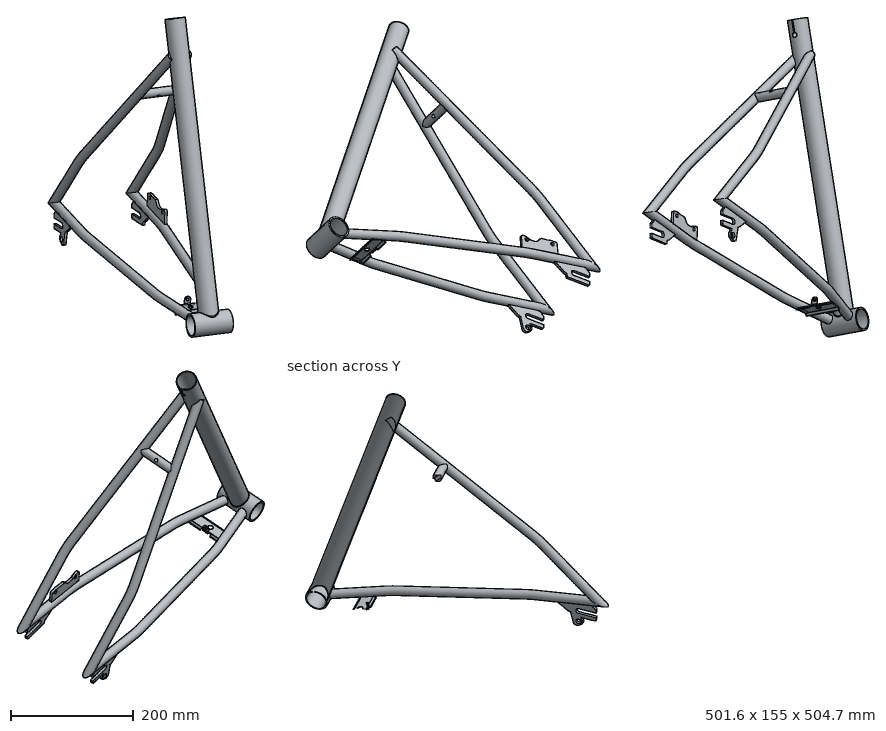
import math
import cadquery as cq


shell_radius = 19.35
shell_bore_radius = 16.5
shell_width = 68.0

seat_tube_radius = 17.0
seat_tube_wall = 1.2
seat_tube_lean = 16.0
seat_tube_length = 500.0
clamp_slot_width = 1.8
clamp_slot_length = 25.5
clamp_hole_diameter = 8.0

stay_radius = 8.0
overall_width = 155.0
joint_x = -465.56
miter_overrun = 40.0

chainstay_rise = 10.6
chainstay_bend_radius = 155.0
chainstay_rear_bend = 352.0
chainstay_front_bend = 115.0
chainstay_front_bend_y = 43.0
chainstay_end = 8.0
chainstay_end_y = 17.0

seatstay_rise = 44.15
seatstay_bend_radius = 175.0
seatstay_bend = 147.0
seatstay_end = 482.0
seatstay_end_y = 12.5

bridge_radius = 7.6
bridge_distance = 356.5
bridge_hole_diameter = 6.0

channel_rear = 90.5
channel_front = 62.5
channel_rear_half_width = 35.0
channel_front_half_width = 32.0
channel_top = -6.8
channel_height = 5.0
channel_wall = 1.5
channel_lean = 3.5
channel_hole_diameter = 8.5
relief_width = 20.0
tab_width = 11.0
tab_hole_diameter = 4.5

dropout_thickness = 4.5
axle_x = -431.2
axle_z = 57.2
axle_slot_width = 10.0
dropout_rear = -30.5
lower_lip = -13.0
lip_chamfer = 2.0
hanger_hole_drop = 23.0
hanger_hole_diameter = 9.0

caliper_hole_diameter = 6.0
caliper_rear_hole = (42.0, 42.0)
caliper_hole_step = (49.8, -11.1)

stay_spacing = overall_width / 2 - stay_radius
chainstay_angle = math.radians(chainstay_rise)
seatstay_angle = math.radians(seatstay_rise)
lean_angle = math.radians(seat_tube_lean)
joint_z = -joint_x * math.tan(chainstay_angle)
joint_distance = -joint_x / math.cos(chainstay_angle)
channel_bottom = channel_top - channel_height
channel_middle = (channel_rear + channel_front) / 2
caliper_front_hole = (
    caliper_rear_hole[0] + caliper_hole_step[0],
    caliper_rear_hole[1] + caliper_hole_step[1],
)

bridge_share = (bridge_distance - seatstay_bend) / (seatstay_end - seatstay_bend)
bridge_end_y = stay_spacing + bridge_share * (seatstay_end_y - stay_spacing)

chainstay_plane = cq.Plane(
    origin=(0, 0, 0),
    xDir=(-math.cos(chainstay_angle), 0, math.sin(chainstay_angle)),
    normal=(-math.sin(chainstay_angle), 0, -math.cos(chainstay_angle)),
)
channel_section_plane = cq.Plane(
    origin=(0, 0, 0),
    xDir=chainstay_plane.xDir,
    normal=chainstay_plane.yDir,
)
seatstay_plane = cq.Plane(
    origin=(joint_x, 0, joint_z),
    xDir=(math.cos(seatstay_angle), 0, math.sin(seatstay_angle)),
    normal=(-math.sin(seatstay_angle), 0, math.cos(seatstay_angle)),
)
seat_tube_plane = cq.Plane(
    origin=(0, 0, 0),
    xDir=(0, -1, 0),
    normal=(-math.sin(lean_angle), 0, math.cos(lean_angle)),
)
seat_tube_rear_plane = cq.Plane(
    origin=(0, 0, 0),
    xDir=(0, -1, 0),
    normal=-seat_tube_plane.yDir,
)


def cylinder_y(radius, width, x=0.0, z=0.0):
    """Cylinder along Y, centred on Y = 0."""
    return cq.Workplane("XZ").center(x, z).circle(radius).extrude(width / 2, both=True)


def bent_bar(plane, points, bend_radius):
    """Round bar along a polyline in the plane, with every inner corner bent."""
    corners = [plane.toWorldCoords((x, y, 0)) for x, y in points]
    path = cq.Wire.makePolygon(corners)
    bends = []
    for vertex in path.Vertices():
        if any((vertex.Center() - corner).Length < stay_radius for corner in corners[1:-1]):
            bends.append(vertex)
    path = path.fillet2D(bend_radius, bends)
    start = cq.Plane(origin=corners[0], xDir=(0, -1, 0), normal=corners[1] - corners[0])
    return cq.Workplane(start).circle(stay_radius).sweep(cq.Workplane(obj=path))


def miter_block(direction):
    """Large block above (1) or below (-1) the plane that bisects the two stays at the rear joint."""
    size = 2 * seatstay_end
    tilt = (seatstay_rise - chainstay_rise) / 2
    return (
        cq.Workplane("XY")
        .box(size, size, size)
        .translate((0, 0, direction * size / 2))
        .rotate((0, 0, 0), (0, 1, 0), -tilt)
        .translate((joint_x, 0, joint_z))
    )


def make_stays(side):
    """Chainstay and seatstay of one side, mitered together at the rear."""
    spacing = side * stay_spacing
    chainstay = bent_bar(
        chainstay_plane,
        [
            (joint_distance + miter_overrun, spacing),
            (chainstay_rear_bend, spacing),
            (chainstay_front_bend, side * chainstay_front_bend_y),
            (chainstay_end, side * chainstay_end_y),
        ],
        chainstay_bend_radius,
    )
    seatstay = bent_bar(
        seatstay_plane,
        [
            (-miter_overrun, spacing),
            (seatstay_bend, spacing),
            (seatstay_end, side * seatstay_end_y),
        ],
        seatstay_bend_radius,
    )
    return chainstay.cut(miter_block(1)).union(seatstay.cut(miter_block(-1)))


def make_seatstay_bridge():
    """Cross bar between the seatstays with a hole square to their plane."""
    centre = seatstay_plane.toWorldCoords((bridge_distance, 0, 0))
    bar = cylinder_y(bridge_radius, 2 * bridge_end_y, centre.x, centre.z)
    hole = (
        cq.Workplane(seatstay_plane)
        .center(bridge_distance, 0)
        .circle(bridge_hole_diameter / 2)
        .extrude(2 * bridge_radius, both=True)
    )
    return bar.cut(hole)


def channel_block(wall):
    """Bar along Y with leaning sides, inset by a wall thickness from the outside of the channel."""
    flange_length = math.hypot(channel_lean, channel_height)
    side_inset = wall * flange_length / channel_height
    lean = channel_lean * (channel_height - wall) / channel_height
    rear = channel_rear - side_inset
    front = channel_front + side_inset
    section = [
        (rear, channel_bottom),
        (rear - lean, channel_top - wall),
        (front + lean, channel_top - wall),
        (front, channel_bottom),
    ]
    return (
        cq.Workplane(channel_section_plane)
        .polyline(section)
        .close()
        .extrude(channel_rear_half_width, both=True)
    )


def channel_cutter(sketch):
    """Extrude a sketch on the chainstay plane down through the whole channel."""
    return sketch.extrude(-channel_bottom)


def make_chainstay_bridge():
    """Channel open downwards, tapering in width, with a tab in a relief of its rear edge."""
    width_outline = [
        (channel_rear, -channel_rear_half_width),
        (channel_rear, channel_rear_half_width),
        (channel_front, channel_front_half_width),
        (channel_front, -channel_front_half_width),
    ]
    base = cq.Workplane(chainstay_plane)
    taper = channel_cutter(base.polyline(width_outline).close())
    relief = channel_cutter(base.center(channel_rear, 0).rect(2 * channel_lean, relief_width))
    hole = channel_cutter(base.center(channel_middle, 0).circle(channel_hole_diameter / 2))
    channel = channel_block(0).cut(channel_block(channel_wall)).intersect(taper)
    return channel.cut(relief).union(make_tab()).cut(hole)


def make_tab():
    """Round-topped eyelet at the rear edge on a flat tongue, its hole level with the chainstay axes."""
    tab_plane = cq.Plane(
        origin=chainstay_plane.toWorldCoords((channel_rear, 0, 0)),
        xDir=(0, 1, 0),
        normal=-chainstay_plane.xDir,
    )
    tongue_bottom = channel_top - channel_wall
    upright = (
        cq.Workplane(tab_plane)
        .moveTo(-tab_width / 2, tongue_bottom)
        .lineTo(-tab_width / 2, 0)
        .threePointArc((0, tab_width / 2), (tab_width / 2, 0))
        .lineTo(tab_width / 2, tongue_bottom)
        .close()
        .moveTo(0, 0)
        .circle(tab_hole_diameter / 2)
        .extrude(channel_wall)
    )
    tongue = (
        cq.Workplane(tab_plane)
        .center(0, channel_top - channel_wall / 2)
        .rect(tab_width, channel_wall)
        .extrude(channel_rear - channel_middle)
    )
    return upright.union(tongue)


def axle_sketch():
    """Sketch in the XZ direction with its origin at the axle."""
    return cq.Workplane("XZ").center(axle_x, axle_z)


def plate(sketch, side):
    """Extrude a sketch into a plate centred on the rear part of the stays of one side."""
    return sketch.extrude(dropout_thickness / 2, both=True).translate((0, side * stay_spacing, 0))


def make_dropout(side):
    """Axle plate below the chainstay; the -Y one carries the derailleur hanger."""
    outline = (
        axle_sketch()
        .moveTo(dropout_rear + lip_chamfer, lower_lip)
        .lineTo(dropout_rear, lower_lip + lip_chamfer)
        .lineTo(dropout_rear, 11.5)
        .lineTo(-23.5, 18.5)
        .lineTo(-14.5, 25.5)
        .lineTo(40.5, 15.5)
        .lineTo(37.5, 8.5)
        .lineTo(19.5, -4.5)
        .lineTo(14.2, -7)
    )
    if side < 0:
        outline = (
            outline.lineTo(9.3, -28.5)
            .threePointArc((3.1, -32.5), (-2.4, -29))
            .threePointArc((-7.4, -23.6), (-3.9, -16.5))
            .lineTo(-3.9, lower_lip)
        )
    else:
        outline = outline.lineTo(12.8, lower_lip)
    dropout = plate(outline.close(), side)
    hanger_hole = axle_sketch().center(0, -hanger_hole_drop).circle(hanger_hole_diameter / 2)
    return dropout.cut(plate(hanger_hole, side))


def axle_slot(side):
    """Axle slot, open at the rear edge of the dropout."""
    slot_end_radius = axle_slot_width / 2
    slot = (
        axle_sketch()
        .moveTo(dropout_rear, -slot_end_radius)
        .lineTo(0, -slot_end_radius)
        .threePointArc((slot_end_radius, 0), (0, slot_end_radius))
        .lineTo(dropout_rear, slot_end_radius)
        .close()
    )
    return plate(slot, side)


def make_caliper_mount(side):
    """Two-hole disc brake mount that stands on the chainstay."""
    outline = (
        axle_sketch()
        .moveTo(31.6, 19.5)
        .lineTo(31.1, 27.5)
        .lineTo(32.6, 43.5)
        .threePointArc((33.4, 46.9), (36.1, 48.4))
        .lineTo(44.6, 48.4)
        .lineTo(51.6, 46.5)
        .lineTo(63.6, 45)
        .threePointArc((67.1, 41.5), (69.1, 38))
        .threePointArc((73.6, 34.5), (78.6, 33.5))
        .lineTo(85.6, 33.5)
        .threePointArc((89.6, 35.5), (94.6, 37))
        .lineTo(98.6, 37)
        .threePointArc((101.1, 35.5), (101.9, 33))
        .lineTo(100.6, 15.5)
        .lineTo(100.6, 7.5)
        .close()
        .pushPoints([caliper_rear_hole, caliper_front_hole])
        .circle(caliper_hole_diameter / 2)
    )
    return plate(outline, side)


def seat_tube_cylinder(radius):
    """Solid cylinder along the seat tube, from the bottom bracket axis to the tube's upper end."""
    return cq.Workplane(seat_tube_plane).circle(radius).extrude(seat_tube_length)


def clamp_slot():
    """Narrow slot down the back of the seat tube, ending in a round hole."""
    hole_height = seat_tube_length - clamp_slot_length
    depth = 2 * seat_tube_radius
    slit = (
        cq.Workplane(seat_tube_rear_plane)
        .center(0, hole_height + clamp_slot_length / 2)
        .rect(clamp_slot_width, clamp_slot_length)
        .extrude(depth)
    )
    hole = (
        cq.Workplane(seat_tube_rear_plane)
        .center(0, hole_height)
        .circle(clamp_hole_diameter / 2)
        .extrude(depth)
    )
    return slit.union(hole)


shell = cylinder_y(shell_radius, shell_width)
seat_tube_bore = seat_tube_cylinder(seat_tube_radius - seat_tube_wall).cut(shell)

frame = shell.union(seat_tube_cylinder(seat_tube_radius))
for side in (-1, 1):
    frame = frame.union(make_stays(side)).union(make_dropout(side))
frame = frame.union(make_caliper_mount(1))
frame = frame.union(make_seatstay_bridge()).union(make_chainstay_bridge())

for side in (-1, 1):
    frame = frame.cut(axle_slot(side))
frame = frame.cut(seat_tube_bore).cut(clamp_slot())
result = frame.cut(cylinder_y(shell_bore_radius, shell_width))